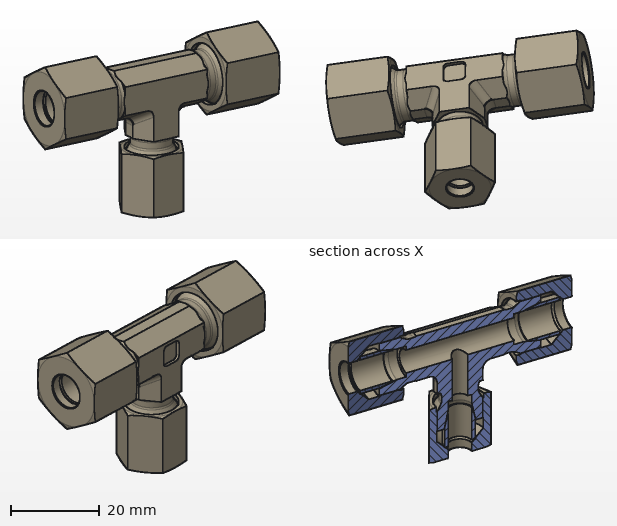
import cadquery as cq
import math


leg_reach = 29.0
nut_length = 14.5
shoulder_at = 11.1
neck_start = 11.95
neck_end = 13.4
spout_end = 21.0
tube_stop_at = 14.0
nut_start = leg_reach - nut_length

section_width = 12.0
narrow_flat = 3.0
section_slope = 30.0
crotch_radius = 2.0
shoulder_flare = 0.35
thread_flare_radius = 1.0
thread_run_in = 30.0
badge_size = 5.15
badge_corner = 1.1
badge_depth = 0.8

nut_chamfer_angle = 15.0
mouth_clearance = 0.1
mouth_depth = 1.15
collar_length = 2.4
tube_hole_bevel = 0.205

ring_cone_angle = 12.0
ring_tip_wall = 0.25
ring_back_gap = 0.7

RUN = {"tube": 8.0, "bore": 6.0, "neck": 11.7, "thread": 14.0, "cone_mouth": 10.0, "across_flats": 17.0}
BRANCH = {"tube": 6.0, "bore": 4.0, "neck": 9.7, "thread": 12.0, "cone_mouth": 8.0, "across_flats": 14.0}

LEGS = [(RUN, -90), (RUN, 90), (BRANCH, 180)]


def place(part, turn):
    return part.rotate((0, 0, 0), (1, 0, 0), turn)


def revolve(profile):
    """Turn a closed outline, drawn as radius and height, about the Z axis."""
    return profile.close().revolve(360, (0, 0, 0), (0, 1, 0))


def section_prism(length):
    """Eight-sided forged section along +Z: wide faces at +-X, narrow ones at +-Y."""
    half = section_width / 2
    narrow = narrow_flat / 2
    wide = half - (half - narrow) * math.tan(math.radians(section_slope))
    outline = [
        (half, -wide), (half, wide), (narrow, half), (-narrow, half),
        (-half, wide), (-half, -wide), (-narrow, -half), (narrow, -half),
    ]
    return cq.Workplane("XY").polyline(outline).close().extrude(length)


def shoulder_cut(size):
    """Waste that leaves a flat shoulder and a flare, tangent to the neck, on the forged section."""
    neck = size["neck"] / 2
    flare_length = neck_start - shoulder_at
    flare_radius = (flare_length**2 + shoulder_flare**2) / (2 * shoulder_flare)
    profile = (
        cq.Workplane("XZ")
        .moveTo(neck, neck_start)
        .radiusArc((neck + shoulder_flare, shoulder_at), -flare_radius)
        .lineTo(section_width, shoulder_at)
        .lineTo(section_width, neck_start)
    )
    return revolve(profile)


def spout(size):
    """Neck, run-in cone and the threaded end that carries the nut."""
    neck = size["neck"] / 2
    thread = size["thread"] / 2

    run_in = math.radians(thread_run_in)
    cone_start_radius = neck + thread_flare_radius * (1 - math.cos(run_in))
    cone_start = neck_end + thread_flare_radius * math.sin(run_in)
    cone_end = cone_start + (thread - cone_start_radius) / math.tan(run_in)

    profile = (
        cq.Workplane("XZ")
        .moveTo(0, 0)
        .lineTo(neck, 0)
        .lineTo(neck, neck_end)
        .radiusArc((cone_start_radius, cone_start), thread_flare_radius)
        .lineTo(thread, cone_end)
        .lineTo(thread, spout_end)
        .lineTo(0, spout_end)
    )
    return revolve(profile)


def leg_bore(size):
    """Through bore, tube socket and the cone for the cutting ring."""
    bore = size["bore"] / 2
    tube = size["tube"] / 2
    mouth = size["cone_mouth"] / 2
    cone_depth = (mouth - tube) / math.tan(math.radians(ring_cone_angle))
    profile = (
        cq.Workplane("XZ")
        .moveTo(0, 0)
        .lineTo(bore, 0)
        .lineTo(bore, tube_stop_at)
        .lineTo(tube, tube_stop_at)
        .lineTo(tube, spout_end - cone_depth)
        .lineTo(mouth, spout_end)
        .lineTo(0, spout_end)
    )
    return revolve(profile)


def badge_recess():
    return (
        cq.Workplane("YZ")
        .workplane(offset=-section_width / 2)
        .rect(badge_size, badge_size)
        .extrude(badge_depth)
        .edges("|X")
        .fillet(badge_corner)
    )


def make_body():
    half = section_width / 2
    body = place(section_prism(2 * neck_start).translate((0, 0, -neck_start)), 90)
    body = body.union(place(section_prism(neck_start), 180))
    for side in (-1, 1):
        near_corner = cq.selectors.BoxSelector(
            (-half, side * half / 2, -half / 2),
            (half, side * half * 1.1, -half * 1.1),
        )
        body = body.edges(near_corner).fillet(crotch_radius)
    for size, turn in LEGS:
        body = body.cut(place(shoulder_cut(size), turn))
        body = body.union(place(spout(size), turn))
    for size, turn in LEGS:
        body = body.cut(place(leg_bore(size), turn))
    return body.cut(badge_recess())


def make_nut(size):
    flats = size["across_flats"]
    corner = flats / math.sqrt(3)
    face = flats / 2
    thread = size["thread"] / 2
    tube = size["tube"] / 2

    hexagon = (
        cq.Workplane("XY").workplane(offset=nut_start)
        .polygon(6, 2 * corner)
        .extrude(nut_length)
        .rotate((0, 0, 0), (0, 0, 1), 30)
    )
    bevel = (corner - face) * math.tan(math.radians(nut_chamfer_angle))
    envelope = revolve(
        cq.Workplane("XZ")
        .moveTo(0, nut_start)
        .lineTo(face, nut_start)
        .lineTo(corner, nut_start + bevel)
        .lineTo(corner, leg_reach - bevel)
        .lineTo(face, leg_reach)
        .lineTo(0, leg_reach)
    )

    seat_end = leg_reach - collar_length
    cavity = revolve(
        cq.Workplane("XZ")
        .moveTo(0, nut_start)
        .lineTo(thread + mouth_clearance, nut_start)
        .lineTo(thread + mouth_clearance, nut_start + mouth_depth)
        .lineTo(thread, nut_start + mouth_depth)
        .lineTo(thread, seat_end - (thread - tube))
        .lineTo(tube, seat_end)
        .lineTo(tube, leg_reach - tube_hole_bevel)
        .lineTo(tube + tube_hole_bevel, leg_reach)
        .lineTo(0, leg_reach)
    )
    return hexagon.intersect(envelope).cut(cavity)


def make_cutting_ring(size):
    """Ring between the 45 degree seat of the nut and the cone of the body."""
    tube = size["tube"] / 2
    outer = size["cone_mouth"] / 2
    back = leg_reach - collar_length - ring_back_gap
    back_radius = tube + ring_back_gap
    tip_radius = tube + ring_tip_wall
    tip = spout_end - (outer - tip_radius) / math.tan(math.radians(ring_cone_angle))
    profile = (
        cq.Workplane("XZ")
        .moveTo(tube, tip)
        .lineTo(tip_radius, tip)
        .lineTo(outer, spout_end)
        .lineTo(outer, back - (outer - back_radius))
        .lineTo(back_radius, back)
        .lineTo(tube, back)
    )
    return revolve(profile)


body = make_body()
nuts = [place(make_nut(size), turn) for size, turn in LEGS]
cutting_rings = [place(make_cutting_ring(size), turn) for size, turn in LEGS]

result = cq.Compound.makeCompound(
    [body.val(), *[nut.val() for nut in nuts], *[ring.val() for ring in cutting_rings]]
)